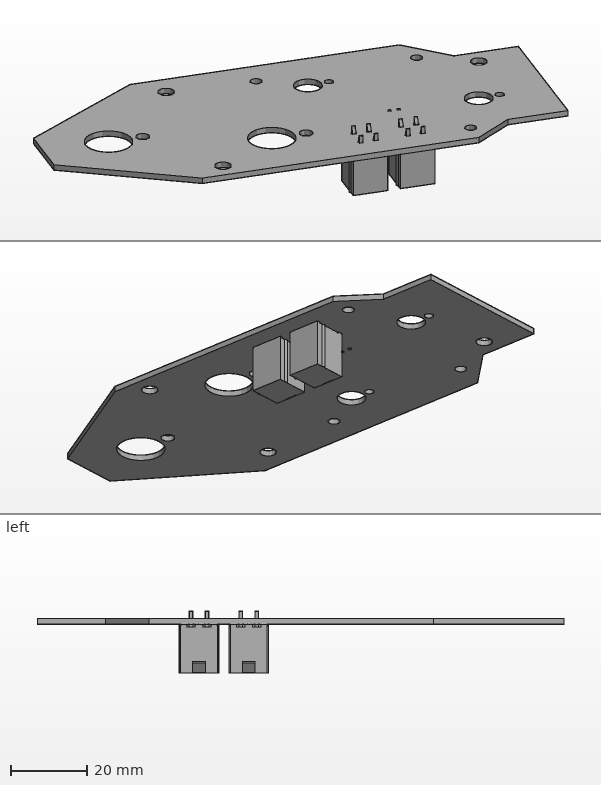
import cadquery as cq

board_width = 59.44
board_length = 138.28
board_thickness = 1.6

half_width = board_width / 2
half_length = board_length / 2
tab_left = -18.9
tab_right = 21.9
tab_left_end = 51.3
tab_right_end = 52.5
left_shoulder = 39.8
right_shoulder = 41.8
taper_start = -34.8
nose_left = -7.15
nose_right = 9.7

fixing_diameter = 4.3
fixing_points = [(-13.6, 56.4), (-22.45, -27.25), (24.35, -27.25)]
standoff_diameter = 3.1
standoff_spacing = 44.45
standoff_left = -20.97
standoff_top = 41.63
lead_diameter = 0.9
lead_pitch = 2.54
lead_x = 6.85
lead_top = 27.3

large_opening_diameter = 12.7
large_opening_points = [(12.7, -9.82), (1.03, -51.1)]
large_locator_diameter = 3.57
large_locator_offset = (0, 9.5)
small_opening_diameter = 7.54
small_opening_points = [(7.32, 49.3), (-14.25, 9.27)]
small_locator_diameter = 2.38
small_locator_offset = (-0.35, 5.95)

connector_x = 19.5
connector_rows = [26.7, 13.65]
housing_size = 9.6
housing_height = 12.8
rib_projection = 0.4
rib_root = 2.2
rib_peak = 2.35
rib_end = 3.1

recess_x = 0.2
recess_width = 7.4
recess_depth = 0.3
notch_width = 2.2
notch_depth = 0.75

latch_width = 3.4
latch_projection = 1.2
latch_height = 3.1
latch_lip = 0.4
latch_foot = 0.2

pin_hole_diameter = 1.4
pin_thickness = 1.0
pin_width = 0.95
pin_pitch_x = 5.5
pin_pitch_y = 4.2
pin_projection = 1.9
left_tip_thickness = 0.2
right_tip_thickness = 0.35


def shifted(points, offset):
    return [(x + offset[0], y + offset[1]) for x, y in points]


def drill(board, points, diameter):
    cutter = cq.Workplane("XY").pushPoints(points).circle(diameter / 2).extrude(board_thickness)
    return board.cut(cutter)


def pin_points():
    points = []
    for row_y in connector_rows:
        for side_x in (-1, 1):
            for side_y in (-1, 1):
                points.append((connector_x + side_x * pin_pitch_x / 2, row_y + side_y * pin_pitch_y / 2))
    return points


def make_board():
    outline = [
        (tab_left, half_length),
        (tab_right, half_length),
        (tab_right, tab_right_end),
        (half_width, right_shoulder),
        (half_width, taper_start),
        (nose_right, -half_length),
        (nose_left, -half_length),
        (-half_width, taper_start),
        (-half_width, left_shoulder),
        (tab_left, tab_left_end),
    ]
    standoff_points = [
        (standoff_left, standoff_top),
        (standoff_left + standoff_spacing, standoff_top),
        (standoff_left, standoff_top - standoff_spacing),
    ]
    lead_points = [(lead_x, lead_top), (lead_x, lead_top - lead_pitch)]
    board = cq.Workplane("XY").polyline(outline).close().extrude(board_thickness)
    board = drill(board, fixing_points, fixing_diameter)
    board = drill(board, standoff_points, standoff_diameter)
    board = drill(board, lead_points, lead_diameter)
    board = drill(board, large_opening_points, large_opening_diameter)
    board = drill(board, shifted(large_opening_points, large_locator_offset), large_locator_diameter)
    board = drill(board, small_opening_points, small_opening_diameter)
    board = drill(board, shifted(small_opening_points, small_locator_offset), small_locator_diameter)
    return drill(board, pin_points(), pin_hole_diameter)


def make_housing():
    half = housing_size / 2
    rib_half = half + rib_projection
    plan = [
        (-half, -half),
        (rib_root, -half),
        (rib_peak, -rib_half),
        (rib_end, -half),
        (half, -half),
        (half, half),
        (rib_end, half),
        (rib_peak, rib_half),
        (rib_root, half),
        (-half, half),
    ]
    housing = cq.Workplane("XY").polyline(plan).close().extrude(-housing_height)
    recess = cq.Workplane("XY").center(recess_x, 0).rect(recess_width, 2 * rib_half).extrude(-recess_depth)
    notch_length = half + recess_x + recess_width / 2
    notches = (
        cq.Workplane("XY")
        .pushPoints([(-half + notch_length / 2, side * pin_pitch_y / 2) for side in (-1, 1)])
        .rect(notch_length, notch_width)
        .extrude(-notch_depth)
    )
    return housing.cut(recess).cut(notches)


def make_latch():
    wall = -housing_size / 2
    tip = wall - latch_projection
    top = latch_height - housing_height
    profile = [
        (wall, top),
        (tip, top),
        (tip, top - latch_lip),
        (wall, latch_foot - housing_height),
    ]
    return cq.Workplane("XZ").polyline(profile).close().extrude(latch_width / 2, both=True)


def make_pin(side, tip_thickness):
    """One pin with a tip ground on its inner face; side is -1 or 1 along X."""
    tip = board_thickness + pin_projection
    outer = side * (pin_pitch_x + pin_thickness) / 2
    inner = outer - side * pin_thickness
    tip_inner = outer - side * tip_thickness
    profile = [
        (outer, -notch_depth),
        (outer, tip),
        (tip_inner, tip),
        (inner, board_thickness),
        (inner, -notch_depth),
    ]
    return cq.Workplane("XZ").polyline(profile).close().extrude(pin_width / 2, both=True)


def make_connector(row_y):
    connector = make_housing().union(make_latch())
    for side, tip_thickness in ((-1, left_tip_thickness), (1, right_tip_thickness)):
        pin = make_pin(side, tip_thickness)
        for side_y in (-1, 1):
            connector = connector.union(pin.translate((0, side_y * pin_pitch_y / 2, 0)))
    return connector.translate((connector_x, row_y, 0))


board = make_board()
connectors = [make_connector(row_y) for row_y in connector_rows]

result = cq.Compound.makeCompound([board.val(), *[connector.val() for connector in connectors]])